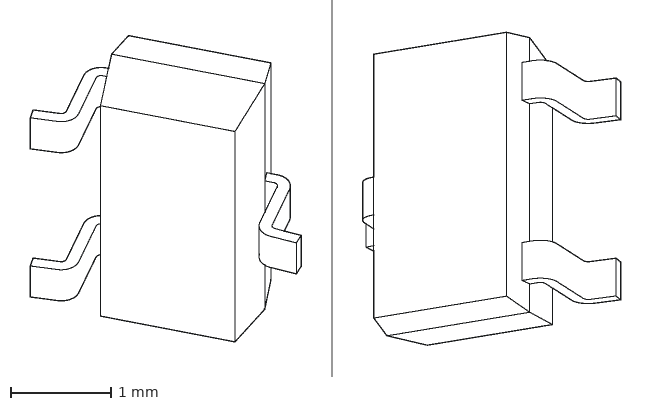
import cadquery as cq
import math

BODY_HEIGHT = 2.9
BODY_WIDTH = 1.6
REAR_DEPTH = 0.4
FRONT_DEPTH = 0.7
DRAFT_ANGLE = 8.0

LEAD_SPAN = 2.8
LEAD_WIDTH = 0.4
LEAD_THICKNESS = 0.13
LEG_OUTER_X = 1.075
INNER_BEND_RADIUS = 0.052
OUTER_BEND_RADIUS = INNER_BEND_RADIUS + LEAD_THICKNESS
FOOT_BEND_Y = -0.645
FOOT_ANGLE = 5.0
LEAD_OFFSET_Z = 0.95


def make_rear_half():
    """Half behind the parting plane, narrowing toward +Y."""
    return cq.Workplane("ZX").rect(BODY_HEIGHT, BODY_WIDTH).extrude(REAR_DEPTH, taper=DRAFT_ANGLE)


def make_front_half():
    """Half in front of the parting plane, narrowing toward -Y."""
    return cq.Workplane("XZ").rect(BODY_WIDTH, BODY_HEIGHT).extrude(FRONT_DEPTH, taper=DRAFT_ANGLE)


def polar(center, radius, degrees):
    """Point on a circle, with the angle measured from +X toward +Y."""
    angle = math.radians(degrees)
    return (center[0] + radius * math.cos(angle), center[1] + radius * math.sin(angle))


def make_lead(side, center_z):
    """Lead on the +X side (side = 1) or -X side (side = -1), butting against the rear half."""
    leg_inner_x = LEG_OUTER_X - LEAD_THICKNESS
    shoulder_center = (leg_inner_x - INNER_BEND_RADIUS, -INNER_BEND_RADIUS)
    foot_center = (LEG_OUTER_X + INNER_BEND_RADIUS, FOOT_BEND_Y)

    wall_inner = (BODY_WIDTH / 2, 0)
    wall_outer_x = BODY_WIDTH / 2 - LEAD_THICKNESS * math.tan(math.radians(DRAFT_ANGLE))
    wall_outer = (wall_outer_x, LEAD_THICKNESS)

    foot_normal = 270 - FOOT_ANGLE
    foot_mid = (180 + foot_normal) / 2
    foot_inner = polar(foot_center, INNER_BEND_RADIUS, foot_normal)
    foot_outer = polar(foot_center, OUTER_BEND_RADIUS, foot_normal)
    foot_length = (LEAD_SPAN / 2 - foot_inner[0]) / math.cos(math.radians(FOOT_ANGLE))
    tip_inner = polar(foot_inner, foot_length, -FOOT_ANGLE)
    tip_outer = polar(foot_outer, foot_length, -FOOT_ANGLE)

    lead = (
        cq.Workplane("XY")
        .workplane(offset=center_z - LEAD_WIDTH / 2)
        .moveTo(*wall_outer)
        .lineTo(*polar(shoulder_center, OUTER_BEND_RADIUS, 90))
        .threePointArc(
            polar(shoulder_center, OUTER_BEND_RADIUS, 45),
            polar(shoulder_center, OUTER_BEND_RADIUS, 0),
        )
        .lineTo(*polar(foot_center, INNER_BEND_RADIUS, 180))
        .threePointArc(polar(foot_center, INNER_BEND_RADIUS, foot_mid), foot_inner)
        .lineTo(*tip_inner)
        .lineTo(*tip_outer)
        .lineTo(*foot_outer)
        .threePointArc(
            polar(foot_center, OUTER_BEND_RADIUS, foot_mid),
            polar(foot_center, OUTER_BEND_RADIUS, 180),
        )
        .lineTo(*polar(shoulder_center, INNER_BEND_RADIUS, 0))
        .threePointArc(
            polar(shoulder_center, INNER_BEND_RADIUS, 45),
            polar(shoulder_center, INNER_BEND_RADIUS, 90),
        )
        .lineTo(*wall_inner)
        .close()
        .extrude(LEAD_WIDTH)
    )
    if side < 0:
        lead = lead.mirror("YZ")
    return lead


rear_half = make_rear_half()
front_half = make_front_half()

lead_places = [(-1, LEAD_OFFSET_Z), (-1, -LEAD_OFFSET_Z), (1, 0)]
leads = [make_lead(side, center_z) for side, center_z in lead_places]

result = cq.Compound.makeCompound(
    [rear_half.val(), front_half.val(), *[lead.val() for lead in leads]]
)